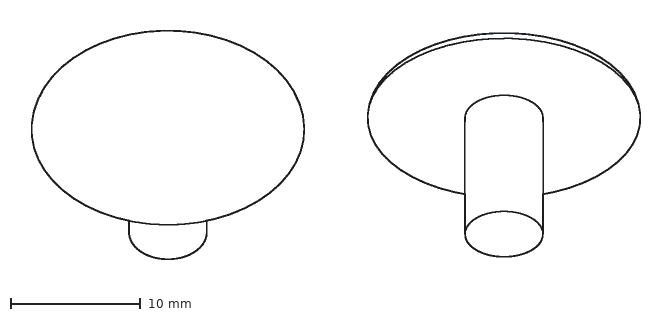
import cadquery as cq
import math

head_diameter = 21.0
head_height = 1.8
rim_radius = 1.0
shank_diameter = 6.0
shank_length = 11.0

head_radius = head_diameter / 2
rim_center_x = head_radius - rim_radius

dome_radius = (rim_center_x**2 + head_height**2 - rim_radius**2) / (2 * (head_height - rim_radius))
dome_center_z = head_height - dome_radius

tangent_angle = math.atan2(rim_center_x, -dome_center_z)


def rim_point(angle):
    """Point on the rim arc, with the angle measured from vertical."""
    return (rim_center_x + rim_radius * math.sin(angle), rim_radius * math.cos(angle))


def dome_point(angle):
    """Point on the dome arc, with the angle measured from vertical."""
    return (dome_radius * math.sin(angle), dome_center_z + dome_radius * math.cos(angle))


head = (
    cq.Workplane("XZ")
    .lineTo(head_radius, 0)
    .threePointArc(rim_point((tangent_angle + math.pi / 2) / 2), rim_point(tangent_angle))
    .threePointArc(dome_point(tangent_angle / 2), (0, head_height))
    .close()
    .revolve(360, (0, 0), (0, 1))
)

shank = cq.Workplane("XY").circle(shank_diameter / 2).extrude(-shank_length)

result = head.union(shank)